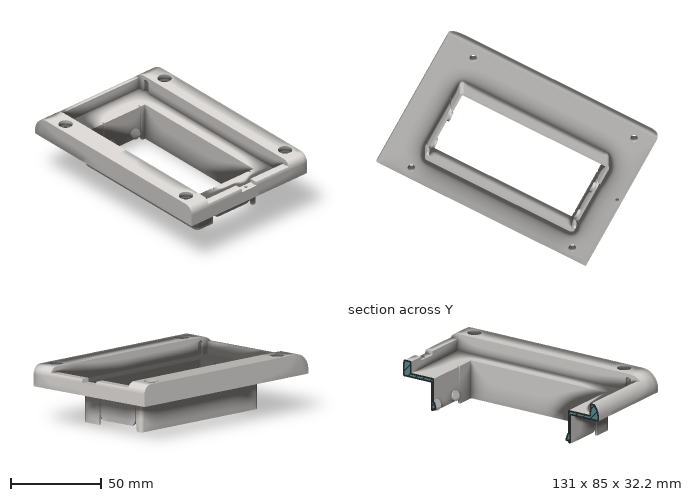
import cadquery as cq

length = 131.0
width = 85.0
plate_height = 12.2
left_round = 10.0
right_round = 5.0
left_end = -length / 2
right_end = length / 2

channel_width = 59.2
channel_depth = 3.0
lip_top = plate_height - channel_depth
floor_top = 2.2
pocket_left = left_end + 5.2
pocket_right = right_end - right_round
pocket_wall_lean = 0.42

skirt_length = 93.4
skirt_width = 44.2
skirt_depth = 20.0
skirt_corner_radius = 2.0
window_length = 90.6
window_width = 41.8

tab_y_min = -9.1
tab_y_max = 17.0
slit_top_width = 0.95
slit_bottom_width = 1.15
tab_shortening = 2.9
tab_bottom = tab_shortening - skirt_depth
tab_corner_radius = 3.2
skirt_foot_radius = 1.5

ramp_diameter = 6.2
ramp_run = 4.5
ramp_reach = 1.5
ramp_lead_in = 0.1
ramp_centers_y = (13.2, -4.8)
ramp_foot_gap = 0.5
ramp_bottom = tab_bottom + ramp_foot_gap

screw_x_positions = (left_end + 18.75, right_end - 11.55)
screw_y = 36.5
screw_diameter = 4.1
head_diameter = 8.0
head_depth = 2.9

notch_width = 10.6
notch_depth = 2.2
latch_hole_diameter = 2.0
latch_hole_x = right_end - 2.8

recess_left = left_end + 9.2
recess_length = 3.8
recess_top = plate_height - 2.0
recess_depth = 1.4
recess_round = 1.7


def block(x_min, x_max, y_min, y_max, z_min, z_max):
    size = (x_max - x_min, y_max - y_min, z_max - z_min)
    return cq.Workplane("XY").box(*size, centered=False).translate((x_min, y_min, z_min))


def make_plate():
    plate = block(left_end, right_end, -width / 2, width / 2, 0, plate_height)
    plate = plate.edges("|Y and >Z and <X").fillet(left_round)
    return plate.edges("|Y and >Z and >X").fillet(right_round)


def make_skirt():
    skirt = cq.Workplane("XY").rect(skirt_length, skirt_width).extrude(-skirt_depth)
    return skirt.edges("|Z").fillet(skirt_corner_radius)


def make_channel():
    """Shallow full-length channel plus the deep pocket with a leaning left wall."""
    half = channel_width / 2
    channel = block(left_end, right_end, -half, half, lip_top, plate_height)
    pocket = (
        cq.Workplane("XZ")
        .moveTo(pocket_left, lip_top)
        .lineTo(pocket_right, lip_top)
        .lineTo(pocket_right, floor_top)
        .lineTo(pocket_left + pocket_wall_lean, floor_top)
        .close()
        .extrude(half, both=True)
    )
    return channel.union(pocket)


def make_window():
    """Rectangular opening through the plate floor and the skirt."""
    return cq.Workplane("XY").box(window_length, window_width, 2 * (skirt_depth + plate_height))


def make_tab_clearance():
    """Slits beside the tabs and the gap under them, through both end walls."""
    half = skirt_length / 2
    opening = (
        cq.Workplane("YZ")
        .moveTo(tab_y_min - slit_bottom_width, -skirt_depth)
        .lineTo(tab_y_max + slit_bottom_width, -skirt_depth)
        .lineTo(tab_y_max + slit_top_width, floor_top)
        .lineTo(tab_y_min - slit_top_width, floor_top)
        .close()
        .extrude(half, both=True)
    )
    tab = block(-half, half, tab_y_min, tab_y_max, tab_bottom, floor_top)
    tab = tab.edges("|X and <Z").fillet(tab_corner_radius)
    return opening.cut(tab)


def round_skirt_feet(body):
    """Round the bottom edges of the end walls that border the +Y slits."""
    foot_y = tab_y_max + slit_bottom_width
    reach = skirt_length / 2
    margin = 0.1
    foot_edges = cq.selectors.BoxSelector(
        (-reach, foot_y - margin, -skirt_depth - margin),
        (reach, foot_y + margin, -skirt_depth + margin),
    )
    return body.edges(foot_edges).fillet(skirt_foot_radius)


def make_ramp(center_y):
    """Round button on the left tab, sloping out from its top to a flat land near its foot."""
    wall_x = -window_length / 2
    radius = ramp_diameter / 2
    ramp_top = ramp_bottom + ramp_diameter
    button = (
        cq.Workplane("YZ", origin=(wall_x, center_y, ramp_bottom + radius))
        .circle(radius)
        .extrude(ramp_reach)
    )
    clearance = (
        cq.Workplane("XZ", origin=(0, center_y, 0))
        .moveTo(wall_x + ramp_lead_in, ramp_top)
        .lineTo(wall_x + ramp_reach, ramp_top - ramp_run)
        .lineTo(wall_x + ramp_diameter, ramp_top - ramp_run)
        .lineTo(wall_x + ramp_diameter, ramp_top + ramp_diameter)
        .lineTo(wall_x + ramp_lead_in, ramp_top + ramp_diameter)
        .close()
        .extrude(ramp_diameter, both=True)
    )
    return button.cut(clearance)


def make_screw_holes():
    points = [(x, y) for x in screw_x_positions for y in (-screw_y, screw_y)]
    shanks = cq.Workplane("XY").pushPoints(points).circle(screw_diameter / 2).extrude(plate_height)
    heads = (
        cq.Workplane("XY", origin=(0, 0, plate_height))
        .pushPoints(points)
        .circle(head_diameter / 2)
        .extrude(-head_depth)
    )
    return shanks.union(heads)


def make_latch_notch():
    half = notch_width / 2
    notch = block(pocket_right, right_end, -half, half, lip_top - notch_depth, lip_top)
    hole = (
        cq.Workplane("XY")
        .center(latch_hole_x, 0)
        .circle(latch_hole_diameter / 2)
        .extrude(plate_height)
    )
    return notch.union(hole)


def make_hinge_recesses():
    half = channel_width / 2 + recess_depth
    recess = block(recess_left, recess_left + recess_length, -half, half, floor_top, recess_top)
    return recess.edges("|Y and >Z").fillet(recess_round)


result = make_plate().union(make_skirt())
for cutter in (
    make_channel(),
    make_window(),
    make_tab_clearance(),
    make_screw_holes(),
    make_latch_notch(),
    make_hinge_recesses(),
):
    result = result.cut(cutter)
for ramp_y in ramp_centers_y:
    ramp = make_ramp(ramp_y)
    result = result.union(ramp).union(ramp.mirror("YZ"))
result = round_skirt_feet(result)